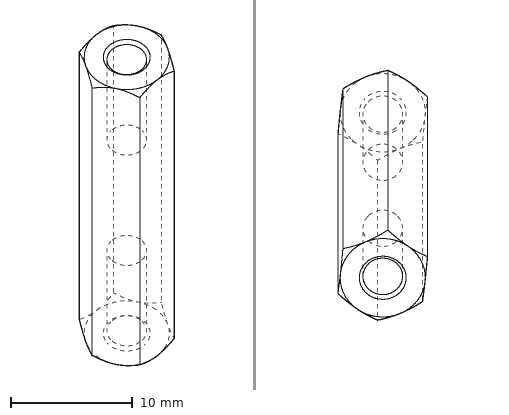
import cadquery as cq
import math

length = 35.0
across_flats = 7.0
across_corners = across_flats / math.cos(math.radians(30))

chamfer_angle = 45.0
corner_trim = (across_corners - across_flats) / 2
corner_drop = corner_trim * math.tan(math.radians(chamfer_angle))

hole_diameter = 3.25
mouth_diameter = 3.85
mouth_depth = (mouth_diameter - hole_diameter) / 2
hole_depth = 10.5
drill_point_angle = 118.0
point_depth = hole_diameter / 2 / math.tan(math.radians(drill_point_angle / 2))


def hex_body():
    """Hexagonal bar with corners on the X axis and flats facing +Y and -Y."""
    return cq.Workplane("XY").polygon(6, across_corners).extrude(length)


def corner_envelope():
    """Turned cylinder whose chamfers meet the end faces at the across-flats circle."""
    face_radius = across_flats / 2
    corner_radius = across_corners / 2
    profile = [
        (0, 0),
        (face_radius, 0),
        (corner_radius, corner_drop),
        (corner_radius, length - corner_drop),
        (face_radius, length),
        (0, length),
    ]
    return cq.Workplane("XZ").polyline(profile).close().revolve(360, (0, 0), (0, 1))


def top_hole():
    """Countersunk blind hole with a conical drill point, opening at the top end."""
    hole_radius = hole_diameter / 2
    floor = length - hole_depth
    profile = [
        (0, length),
        (mouth_diameter / 2, length),
        (hole_radius, length - mouth_depth),
        (hole_radius, floor),
        (0, floor - point_depth),
    ]
    return cq.Workplane("XZ").polyline(profile).close().revolve(360, (0, 0), (0, 1))


upper_hole = top_hole()
lower_hole = upper_hole.mirror("XY", (0, 0, length / 2))

result = hex_body().intersect(corner_envelope()).cut(upper_hole).cut(lower_hole)